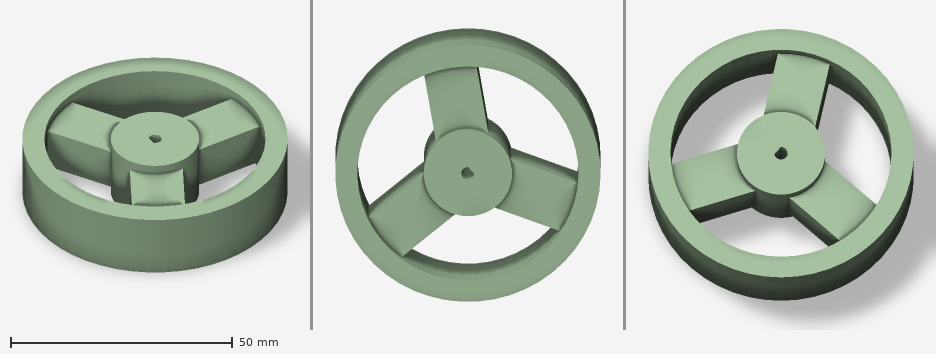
import cadquery as cq

rim_diameter = 60.0
rim_inner_diameter = 50.0
wheel_height = 15.0

hub_diameter = 20.0
bore_diameter = 3.0
bore_flat_offset = 1.0

spoke_count = 3
spoke_width = 12.0
spoke_height = 10.0
first_spoke_angle = 90.0


def make_rim():
    return (
        cq.Workplane("XY")
        .circle(rim_diameter / 2)
        .circle(rim_inner_diameter / 2)
        .extrude(wheel_height)
    )


def make_hub():
    return cq.Workplane("XY").circle(hub_diameter / 2).extrude(wheel_height)


def make_spoke(angle):
    """Straight bar from the axis to mid-rim, centred in the wheel height."""
    length = (rim_diameter + rim_inner_diameter) / 4
    return (
        cq.Workplane("XY")
        .box(length, spoke_width, spoke_height, centered=(False, True, True))
        .translate((0, 0, wheel_height / 2))
        .rotate((0, 0, 0), (0, 0, 1), angle)
    )


def make_bore():
    """Through bore: a cylinder trimmed to a flat facing the -Y side."""
    cylinder = cq.Workplane("XY").circle(bore_diameter / 2).extrude(wheel_height)
    keep = (
        cq.Workplane("XY")
        .box(bore_diameter, bore_diameter, wheel_height, centered=(True, False, False))
        .translate((0, -bore_flat_offset, 0))
    )
    return cylinder.intersect(keep)


wheel = make_rim().union(make_hub())
for index in range(spoke_count):
    wheel = wheel.union(make_spoke(first_spoke_angle + index * 360 / spoke_count))

result = wheel.cut(make_bore())